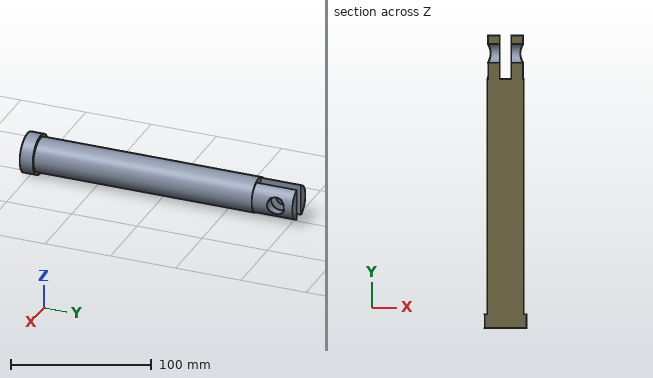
import cadquery as cq

total_length = 208.0
head_diameter = 30.0
head_length = 10.0
shank_diameter = 26.0
fork_diameter = 25.0
fork_length = 31.0
slot_width = 8.1
hole_diameter = 13.0
hole_from_tip = 13.0

fork_start = total_length - fork_length


def cylinder_along_y(diameter, start, end):
    """Round bar on the Y axis between two Y positions."""
    base = cq.Workplane("XZ", origin=(0, start, 0))
    return base.circle(diameter / 2).extrude(start - end)


def stepped_pin():
    head = cylinder_along_y(head_diameter, 0, head_length)
    shank = cylinder_along_y(shank_diameter, head_length, fork_start)
    fork = cylinder_along_y(fork_diameter, fork_start, total_length)
    return head.union(shank).union(fork)


def fork_slot():
    """Slot through the full height of the fork, open at the tip."""
    slot = cq.Workplane("XY").box(slot_width, fork_length, fork_diameter)
    return slot.translate((0, fork_start + fork_length / 2, 0))


def cross_hole():
    """Hole along X through both fork prongs."""
    base = cq.Workplane("YZ", origin=(0, total_length - hole_from_tip, 0))
    return base.circle(hole_diameter / 2).extrude(fork_diameter / 2, both=True)


result = stepped_pin().cut(fork_slot()).cut(cross_hole())